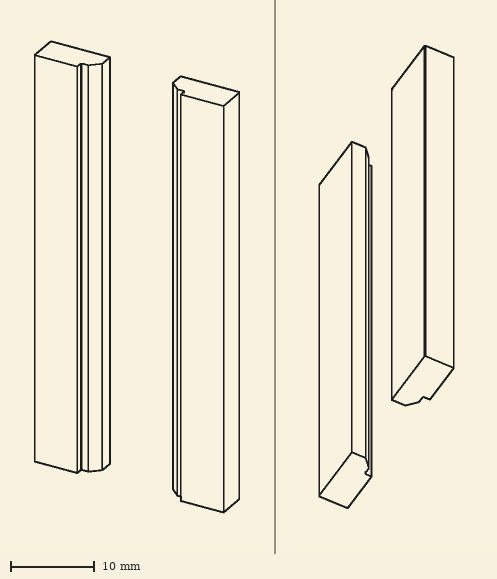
import cadquery as cq

length = 55.4
overall_width = 26.0
strip_width = 8.15
thickness = 4.0

rebate_width = 2.25
rebate_depth = 0.95

bevel_width = 1.3
bevel_depth = 1.05

edge_break = 0.1


def make_strip(side):
    """Return one full-length strip: side is -1 for the left one, +1 for the right one."""
    outer_x = side * overall_width / 2
    inner_x = outer_x - side * strip_width
    front_y = -thickness / 2
    back_y = thickness / 2
    floor_y = front_y + rebate_depth
    step_x = inner_x + side * rebate_width
    outline = [
        (outer_x - side * edge_break, back_y),
        (outer_x, back_y - edge_break),
        (outer_x, front_y),
        (step_x, front_y),
        (step_x, floor_y - edge_break),
        (step_x - side * edge_break, floor_y),
        (inner_x + side * bevel_width, floor_y),
        (inner_x + side * edge_break, floor_y + bevel_depth),
        (inner_x, floor_y + bevel_depth + edge_break),
        (inner_x, back_y),
    ]
    return cq.Workplane("XY").polyline(outline).close().extrude(length)


strips = [make_strip(side) for side in (-1, 1)]

result = cq.Compound.makeCompound([strip.val() for strip in strips])